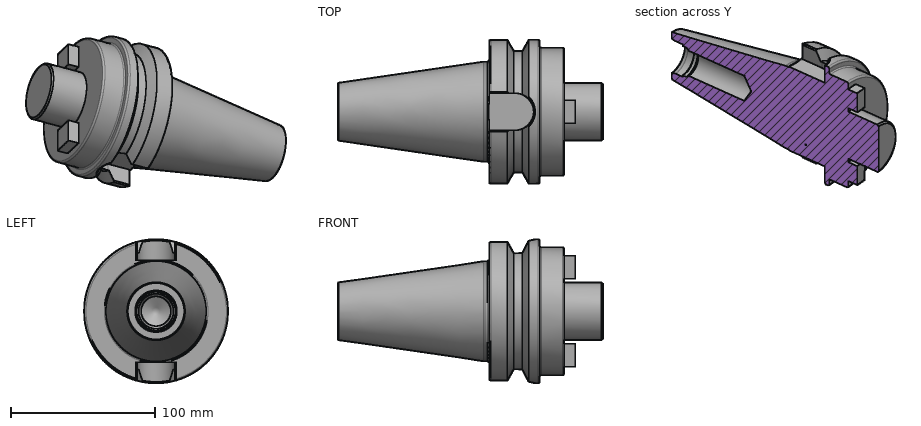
import cadquery as cq
import math

total_length = 183.8
gauge_x = 101.8
flange_start_x = 104.8
groove_start_x = 117.5
groove_end_x = 132.3
flange_end_x = 139.9
body_end_x = 156.8

gauge_diameter = 69.8
neck_diameter = 69.7
flange_diameter = 100.0
groove_diameter = 84.5
body_diameter = 89.0
pilot_diameter = 40.0

taper_slope = 7 / 48
groove_wall_angle = 30.0

edge_round = 1.3
pilot_chamfer = 1.1
taper_chamfer = 0.5
neck_fillet = 1.1
body_fillet = 1.0
neck_blend_radius = 7.4

slot_width = 25.7
slot_floor_z = 35.3
slot_arc_x = 122.8
slot_chamfer = 1.1

key_size = 16.2
key_length = 7.9
key_inner_z = 22.5

mouth_radius = 14.5
mouth_chamfer = 0.5
mouth_cone_end_x = 3.3
counterbore_radius = 13.5
counterbore_end_x = 9.5
relief_radius = 12.1
relief_end_x = 13.0
shoulder_chamfer = 0.4
thread_mouth_radius = 11.8
thread_radius = 10.3
thread_start_x = 15.5
thread_end_x = 64.3
drill_tip_angle = 120.0

overlap = 0.2


def taper_radius(x):
    return gauge_diameter / 2 - taper_slope * (gauge_x - x)


def revolve_profile(profile):
    return profile.close().revolve(360, (0, 0, 0), (1, 0, 0))


def both_sides(shape):
    return shape.union(shape.mirror("XY"))


def turned_body():
    neck_radius = neck_diameter / 2
    flange_radius = flange_diameter / 2
    groove_radius = groove_diameter / 2
    body_radius = body_diameter / 2
    pilot_radius = pilot_diameter / 2
    wall_run = (flange_radius - groove_radius) * math.tan(math.radians(groove_wall_angle))

    corner_x = gauge_x - (gauge_diameter - neck_diameter) / 2 / taper_slope
    taper_angle = math.atan(taper_slope)
    tangent_length = neck_blend_radius * math.tan(taper_angle / 2)
    blend_start_x = corner_x - tangent_length * math.cos(taper_angle)
    blend_end_x = corner_x + tangent_length

    profile = (
        cq.Workplane("XY")
        .lineTo(0, taper_radius(0) - taper_chamfer)
        .lineTo(taper_chamfer, taper_radius(taper_chamfer))
        .lineTo(blend_start_x, taper_radius(blend_start_x))
        .tangentArcPoint((blend_end_x, neck_radius), relative=False)
        .lineTo(flange_start_x - neck_fillet, neck_radius)
        .radiusArc((flange_start_x, neck_radius + neck_fillet), -neck_fillet)
        .lineTo(flange_start_x, flange_radius - edge_round)
        .radiusArc((flange_start_x + edge_round, flange_radius), edge_round)
        .lineTo(groove_start_x, flange_radius)
        .lineTo(groove_start_x + wall_run, groove_radius)
        .lineTo(groove_end_x - wall_run, groove_radius)
        .lineTo(groove_end_x, flange_radius)
        .lineTo(flange_end_x - edge_round, flange_radius)
        .radiusArc((flange_end_x, flange_radius - edge_round), edge_round)
        .lineTo(flange_end_x, body_radius + body_fillet)
        .radiusArc((flange_end_x + body_fillet, body_radius), -body_fillet)
        .lineTo(body_end_x - edge_round, body_radius)
        .radiusArc((body_end_x, body_radius - edge_round), edge_round)
        .lineTo(body_end_x, pilot_radius)
        .lineTo(total_length - pilot_chamfer, pilot_radius)
        .lineTo(total_length, pilot_radius - pilot_chamfer)
        .lineTo(total_length, 0)
    )
    return revolve_profile(profile)


def drawbar_bore():
    tip_length = thread_radius / math.tan(math.radians(drill_tip_angle / 2))
    profile = (
        cq.Workplane("XY")
        .lineTo(0, mouth_radius)
        .lineTo(mouth_chamfer, mouth_radius - mouth_chamfer)
        .lineTo(mouth_cone_end_x, counterbore_radius)
        .lineTo(counterbore_end_x, counterbore_radius)
        .lineTo(counterbore_end_x + shoulder_chamfer, relief_radius)
        .lineTo(relief_end_x, relief_radius)
        .lineTo(relief_end_x + shoulder_chamfer, thread_mouth_radius)
        .lineTo(thread_start_x, thread_radius)
        .lineTo(thread_end_x, thread_radius)
        .lineTo(thread_end_x + tip_length, 0)
    )
    return revolve_profile(profile)


def slot_cutter():
    """U-shaped slot, open towards the taper, cut down to a flat floor."""
    half_width = slot_width / 2
    open_end_x = flange_start_x - overlap
    return (
        cq.Workplane("XY", origin=(0, 0, slot_floor_z))
        .moveTo(open_end_x, -half_width)
        .lineTo(slot_arc_x, -half_width)
        .threePointArc((slot_arc_x + half_width, 0), (slot_arc_x, half_width))
        .lineTo(open_end_x, half_width)
        .close()
        .extrude(flange_diameter / 2)
    )


def chamfer_slot_rims(body):
    """Chamfer the slots along the flange front face and the flange diameter."""
    reach_y = slot_width / 2 + overlap
    front_x = (flange_start_x - overlap, groove_start_x + overlap)
    rear_x = (groove_end_x, flange_end_x)
    rims = []
    for side in (1, -1):
        low_z = side * (slot_floor_z + overlap)
        high_z = side * flange_diameter / 2
        for start_x, end_x in (front_x, rear_x):
            box = cq.selectors.BoxSelector((start_x, -reach_y, low_z), (end_x, reach_y, high_z))
            rims += body.edges(box).vals()
    return body.newObject(rims).chamfer(slot_chamfer)


def drive_key():
    key = cq.Workplane("XY").box(
        key_length + overlap, key_size, key_size, centered=(False, True, False)
    )
    return key.translate((body_end_x - overlap, 0, key_inner_z))


slotted_body = turned_body().cut(both_sides(slot_cutter()))
holder = chamfer_slot_rims(slotted_body).cut(drawbar_bore())
result = holder.union(both_sides(drive_key()))